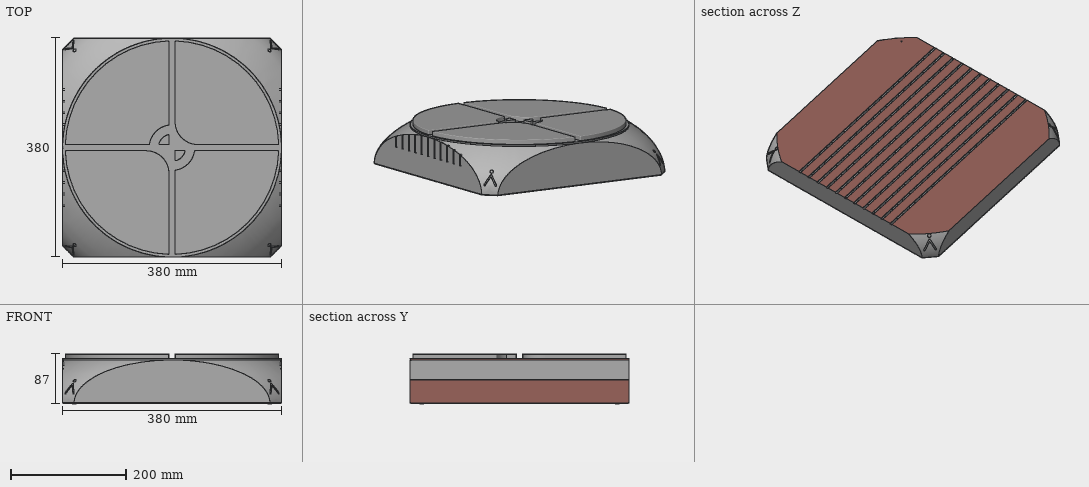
import cadquery as cq
import math

total_height = 87.0
foot_height = 1.5
dome_height = 75.2
disk_height = 2.5
dome_top = foot_height + dome_height
disk_top = dome_top + disk_height
pad_height = total_height - disk_top

body_side = 380.0
half_side = body_side / 2
base_chamfer = 1.5
arch_half_width = 170.0
base_radius = math.hypot(half_side, arch_half_width)
ellipse_height = dome_height * base_radius / arch_half_width

pad_radius = 185.0
channel_width = 10.5
channel_half = channel_width / 2
hub_radius = 39.5
button_radius = 23.5
corner_radius = 1.5
rim_radius = 0.8

foot_diameter = 6.0
foot_offset = arch_half_width

vent_count = 11
vent_pitch = 20.0
vent_width = 3.0
vent_bottom = 42.5
vent_lip = 0.5

mark_depth = 0.5
mark_reach = 7.5
dot_diameter = 6.0
groove_width = 2.5
mark_height = 30.5
dot_rise = 13.0
chevron_rise = 5.7
chevron_drop = 12.0
chevron_half_width = 10.0


def make_dome(radius, height):
    """Upper half of an ellipsoid of revolution standing on the base plane."""
    profile = (
        cq.Workplane("XZ", origin=(0, 0, foot_height))
        .moveTo(radius, 0)
        .ellipseArc(radius, height, 0, 90, startAtCurrent=True)
        .lineTo(0, 0)
        .close()
    )
    return profile.revolve(360, (0, 0, 0), (0, 1, 0))


def make_body():
    envelope = cq.Workplane("XY", origin=(0, 0, foot_height)).rect(body_side, body_side).extrude(dome_height)
    disk = cq.Workplane("XY", origin=(0, 0, dome_top)).circle(half_side).extrude(disk_height)
    shell = make_dome(base_radius, ellipse_height).intersect(envelope)
    return shell.faces("<Z").chamfer(base_chamfer).union(disk)


def make_sector(radius):
    """Raised block in the +X +Y quadrant, bounded by the channel and a round outer side."""
    quadrant = (
        cq.Workplane("XY", origin=(channel_half, channel_half, disk_top))
        .rect(radius, radius, centered=False)
        .extrude(pad_height)
    )
    cylinder = cq.Workplane("XY", origin=(0, 0, disk_top)).circle(radius).extrude(pad_height)
    return quadrant.intersect(cylinder)


def make_round_nose_pad():
    """Pad whose inner corner is rounded off convexly."""
    pad = make_sector(pad_radius)
    pad = pad.edges("|Z").edges("<X and <Y").fillet(hub_radius)
    pad = pad.edges("|Z").edges(">X or >Y").fillet(corner_radius)
    return pad.faces(">Z").edges().fillet(rim_radius)


def make_notched_pad():
    """Pad whose inner corner is cut back around the central axis."""
    hub = cq.Workplane("XY", origin=(0, 0, disk_top)).circle(hub_radius).extrude(pad_height)
    pad = make_sector(pad_radius).cut(hub).edges("|Z").fillet(corner_radius)
    return pad.faces(">Z").edges().fillet(rim_radius)


def make_button():
    button = make_sector(button_radius)
    tips = button.edges("|Z").edges(">X or >Y")
    return tips.fillet(corner_radius)


def about_z(shape, angle):
    return shape.rotate((0, 0, 0), (0, 0, 1), angle)


def make_vents():
    """Row of slots whose tops follow the arched outline of the flat sides."""
    slots = (
        cq.Workplane("YZ", origin=(-half_side, 0, vent_bottom))
        .rarray(vent_pitch, 3.8, vent_count, 1)
        .rect(vent_width, 2 * dome_height)
        .extrude(body_side)
    )
    above_sill = (
        cq.Workplane("XY", origin=(0, 0, vent_bottom))
        .rect(body_side, body_side)
        .extrude(dome_height)
    )
    arch = (
        cq.Workplane("YZ", origin=(-half_side, 0, foot_height))
        .ellipse(arch_half_width - vent_lip, dome_height - vent_lip)
        .extrude(body_side)
    )
    return slots.intersect(above_sill).intersect(arch)


def make_corner_mark():
    """Dot over a chevron on the +X slope of the dome, sunk to an even depth."""
    height = mark_height - foot_height
    radius = base_radius * math.sqrt(1 - (height / ellipse_height) ** 2)
    normal = (radius / base_radius**2, 0, height / ellipse_height**2)
    slope = cq.Workplane(cq.Plane(origin=(radius, 0, mark_height), xDir=(0, 1, 0), normal=normal))

    mark = slope.center(0, dot_rise).circle(dot_diameter / 2).extrude(mark_reach, both=True)
    leg_drop = chevron_rise + chevron_drop
    leg_length = math.hypot(chevron_half_width, leg_drop)
    leg_angle = math.degrees(math.atan2(leg_drop, chevron_half_width))
    for side in (-1, 1):
        leg = (
            slope.center(side * chevron_half_width / 2, (chevron_rise - chevron_drop) / 2)
            .slot2D(leg_length + groove_width, groove_width, -side * leg_angle)
            .extrude(mark_reach, both=True)
        )
        mark = mark.union(leg)
    return mark.cut(make_dome(base_radius - mark_depth, ellipse_height - mark_depth))


feet = (
    cq.Workplane("XY")
    .rect(2 * foot_offset, 2 * foot_offset, forConstruction=True)
    .vertices()
    .circle(foot_diameter / 2)
    .extrude(foot_height)
)

result = make_body().cut(make_vents())

corner_mark = make_corner_mark()
for corner_angle in (45, 135, 225, 315):
    result = result.cut(about_z(corner_mark, corner_angle))

for angle in (0, 180):
    result = result.union(about_z(make_round_nose_pad(), angle))
    result = result.union(about_z(make_notched_pad(), angle + 90))
    result = result.union(about_z(make_button(), angle + 90))

result = result.union(feet)